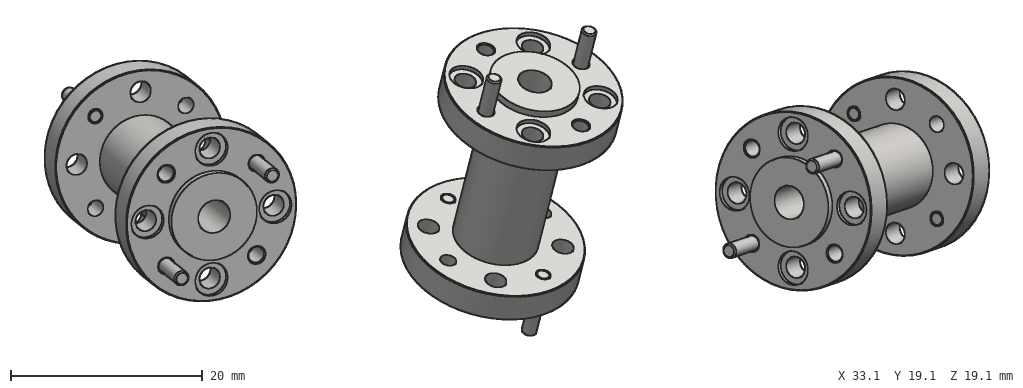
import cadquery as cq
import math

overall_length = 33.15
flange_diameter = 19.05
flange_thickness = 3.3
flange_chamfer = 0.1
pin_reach = 4.6
boss_diameter = 9.55
boss_height = 0.8
tube_diameter = 9.15
bore_diameter = 3.58

pitch_diameter = 14.3
screw_hole_diameter = 2.3
counterbore_diameter = 3.6
counterbore_depth = 0.5
clearance_hole_diameter = 1.72
hole_chamfer = 0.13
pin_diameter = 1.6
pin_chamfer = 0.15

outer_face = overall_length / 2 - pin_reach
inner_face = outer_face - flange_thickness
pitch_radius = pitch_diameter / 2
pin_length = flange_thickness + pin_reach

screw_angles = [0, 90, 180, 270]
end_pins = {-1: [135, 315], 1: [45, 225]}
end_clearances = {-1: [45, 225], 1: [135, 315]}


def cylinder_x(diameter, x_start, x_end):
    """Solid cylinder on the X axis between two X positions."""
    length = x_end - x_start
    return cq.Workplane("YZ", origin=(x_start, 0, 0)).circle(diameter / 2).extrude(length)


def at_pitch(shape, angle):
    """Move a shape from the X axis out to the pitch circle."""
    y = pitch_radius * math.cos(math.radians(angle))
    z = pitch_radius * math.sin(math.radians(angle))
    return shape.translate((0, y, z))


def to_end(shape, end):
    """Keep a shape made for the +X end, or mirror it to the -X end."""
    return shape if end > 0 else shape.mirror("YZ")


def make_flange():
    """+X flange disc with both rims chamfered, plus its raised centre boss."""
    disc = cylinder_x(flange_diameter, inner_face, outer_face).edges().chamfer(flange_chamfer)
    boss = cylinder_x(boss_diameter, outer_face, outer_face + boss_height)
    return disc.union(boss)


def make_screw_cutter():
    """Through hole with a shallow counterbore in the outer face."""
    hole = cylinder_x(screw_hole_diameter, inner_face, outer_face)
    counterbore = cylinder_x(counterbore_diameter, outer_face - counterbore_depth, outer_face)
    return hole.union(counterbore)


def make_pin_cutter(diameter):
    """Through hole on the X axis for a pin, chamfered at the outer face."""
    radius = diameter / 2
    profile = [
        (inner_face, 0),
        (inner_face, radius),
        (outer_face - hole_chamfer, radius),
        (outer_face, radius + hole_chamfer),
        (outer_face, 0),
    ]
    return cq.Workplane("XY").polyline(profile).close().revolve(360, (0, 0, 0), (1, 0, 0))


def make_spool():
    """Tube with a flange at each end, the through bore and all flange holes."""
    spool = cylinder_x(tube_diameter, -inner_face, inner_face)
    for end in end_pins:
        spool = spool.union(to_end(make_flange(), end))
    for end in end_pins:
        for angle in screw_angles:
            spool = spool.cut(at_pitch(to_end(make_screw_cutter(), end), angle))
        for angle in end_clearances[end]:
            spool = spool.cut(at_pitch(to_end(make_pin_cutter(clearance_hole_diameter), end), angle))
        for angle in end_pins[end]:
            spool = spool.cut(at_pitch(to_end(make_pin_cutter(pin_diameter), end), angle))
    boss_face = outer_face + boss_height
    return spool.cut(cylinder_x(bore_diameter, -boss_face, boss_face))


def make_pin(end, angle):
    """Dowel pin starting at the inner flange face, chamfered at both ends."""
    pin = cylinder_x(pin_diameter, inner_face, inner_face + pin_length)
    pin = pin.edges("%CIRCLE").chamfer(pin_chamfer)
    return at_pitch(to_end(pin, end), angle)


spool = make_spool()
pins = [make_pin(end, angle).val() for end in end_pins for angle in end_pins[end]]

result = cq.Compound.makeCompound([spool.val(), *pins])